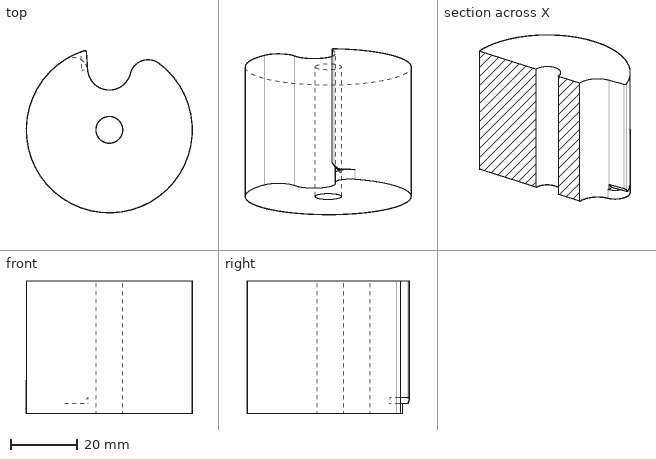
import math

import cadquery as cq

BODY_RADIUS = 25.0
HEIGHT = 40.0
BORE_RADIUS = 4.0

NOTCH_RADIUS = 6.5
NOTCH_CENTER_Y = 18.5
WALL_LEAN = math.radians(4.0)
SHOULDER_RADIUS = 5.5
TIP_ROUND = 0.5

RELIEF_HEIGHT = 3.0
RELIEF_SHOULDER_RADIUS = 4.5
TIP_CHAMFER = 1.8

ALONG_WALL = (-math.sin(WALL_LEAN), math.cos(WALL_LEAN))
INTO_WALL = (-math.cos(WALL_LEAN), -math.sin(WALL_LEAN))

NOTCH_FLOOR = (0, NOTCH_CENTER_Y - NOTCH_RADIUS)
BODY_BACK = (0, -BODY_RADIUS)


def wall_foot_point():
    """Point where the straight wall runs tangent into the notch circle."""
    return (NOTCH_RADIUS * INTO_WALL[0], NOTCH_CENTER_Y + NOTCH_RADIUS * INTO_WALL[1])


def tip_point():
    """Point where the straight wall meets the outer circle of the body."""
    along_from_body_center = math.sqrt(BODY_RADIUS**2 - (NOTCH_RADIUS + NOTCH_CENTER_Y * INTO_WALL[1]) ** 2)
    length = along_from_body_center - NOTCH_CENTER_Y * ALONG_WALL[1]
    foot_x, foot_y = wall_foot_point()
    return (foot_x + length * ALONG_WALL[0], foot_y + length * ALONG_WALL[1])


def shoulder_points(radius, side):
    """Notch end, top and body end of a round tangent to the notch and outer circles.

    The side is 1 for the +X side of the notch and -1 for the -X side.
    """
    from_body = BODY_RADIUS - radius
    from_notch = NOTCH_RADIUS + radius
    y = (from_body**2 - from_notch**2 + NOTCH_CENTER_Y**2) / (2 * NOTCH_CENTER_Y)
    x = side * math.sqrt(from_body**2 - y**2)
    to_notch = NOTCH_RADIUS / from_notch
    to_body = BODY_RADIUS / from_body
    notch_end = (x * to_notch, NOTCH_CENTER_Y + (y - NOTCH_CENTER_Y) * to_notch)
    top = (x, y + radius)
    body_end = (x * to_body, y * to_body)
    return notch_end, top, body_end


def make_upper_layer():
    """Main part of the body, with the straight notch wall and its rounded tip."""
    notch_end, shoulder_top, body_end = shoulder_points(SHOULDER_RADIUS, 1)
    tip = tip_point()
    layer_height = HEIGHT - RELIEF_HEIGHT
    layer = (
        cq.Workplane("XY", origin=(0, 0, RELIEF_HEIGHT))
        .moveTo(*tip)
        .lineTo(*wall_foot_point())
        .threePointArc(NOTCH_FLOOR, notch_end)
        .threePointArc(shoulder_top, body_end)
        .threePointArc(BODY_BACK, tip)
        .close()
        .extrude(layer_height)
    )
    tip_edge = cq.NearestToPointSelector((*tip, RELIEF_HEIGHT + layer_height / 2))
    return layer.edges("|Z").edges(tip_edge).fillet(TIP_ROUND)


def make_lower_layer():
    """Bottom of the body, with the notch rounded into the outer circle on both sides."""
    right_notch_end, right_top, right_body_end = shoulder_points(SHOULDER_RADIUS, 1)
    left_notch_end, left_top, left_body_end = shoulder_points(RELIEF_SHOULDER_RADIUS, -1)
    return (
        cq.Workplane("XY")
        .moveTo(*left_notch_end)
        .threePointArc(NOTCH_FLOOR, right_notch_end)
        .threePointArc(right_top, right_body_end)
        .threePointArc(BODY_BACK, left_body_end)
        .threePointArc(left_top, left_notch_end)
        .close()
        .extrude(RELIEF_HEIGHT)
    )


def make_chamfer_wedge():
    """Wedge that chamfers the bottom edge of the straight wall, under the tip."""
    foot_x, foot_y = wall_foot_point()
    section = cq.Plane(
        origin=(foot_x, foot_y, RELIEF_HEIGHT),
        xDir=(*INTO_WALL, 0),
        normal=(*ALONG_WALL, 0),
    )
    return (
        cq.Workplane(section)
        .polyline([(0, 0), (TIP_CHAMFER, 0), (0, TIP_CHAMFER)])
        .close()
        .extrude(BODY_RADIUS)
    )


def make_bore():
    """Axial through hole."""
    return cq.Workplane("XY").circle(BORE_RADIUS).extrude(HEIGHT)


upper_layer = make_upper_layer().cut(make_chamfer_wedge())

result = make_lower_layer().union(upper_layer).cut(make_bore())